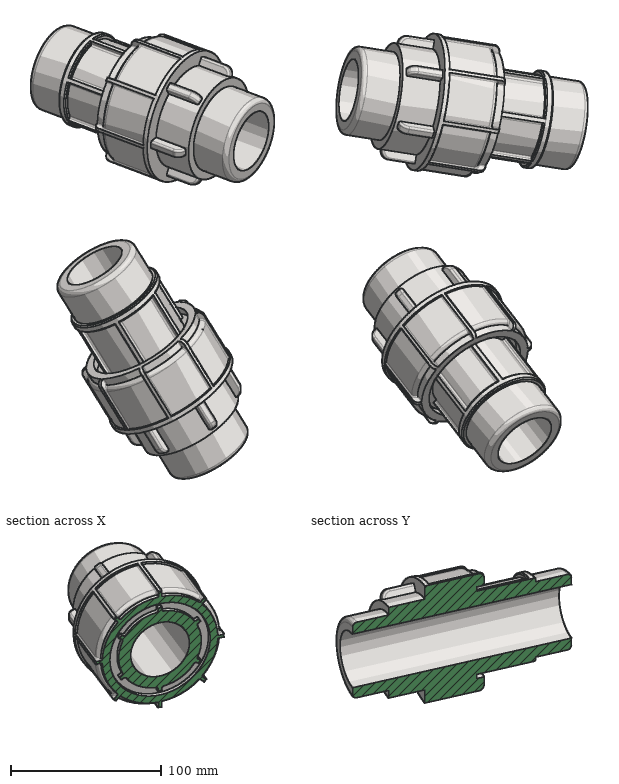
import cadquery as cq
import math

pipe_length = 158.5
pipe_diameter = 59.6
bore_diameter = 41.7
pipe_end_rounding = 3.2

collar_start = 25.8
collar_end = 31.2
collar_diameter = 65.6
collar_chamfer = 1.0
stem_rib_count = 6
stem_rib_width = 3.0
stem_rib_root_radius = 1.3

nut_start = 63.1
nose_end = 68.5
panel_end = 102.9
nut_end = 106.2
nut_diameter = 92.1
nose_diameter = 83.0
panel_diameter = 89.0
panel_rounding = 2.9
nut_opening_diameter = 71.5
nut_opening_depth = 5.4
nut_rib_count = 8
nut_rib_width = 2.5
panel_rib_root_radius = 0.8
nose_rib_root_radius = 0.5
nut_rib_end_rounding = 4.0

stem_rib_end = nut_start + nut_opening_depth

body_end = 132.3
body_diameter = nut_opening_diameter
body_rib_end = 130.0
body_rib_count = 6
body_rib_first_angle = 180 / body_rib_count
body_rib_width = 6.0
body_rib_top_radius = 41.7
body_rib_end_rounding = 6.3
body_rib_edge_rounding = 1.5

root_tolerance = 0.08


def cylinder(start, end, diameter):
    """Solid cylinder about the X axis between two X positions."""
    return cq.Workplane("YZ", origin=(start, 0, 0)).circle(diameter / 2).extrude(end - start)


def rib(start, end, width, top_radius):
    """Straight bar along X that rises toward +Z from midway through the pipe wall."""
    base_radius = (bore_diameter + pipe_diameter) / 4
    base = cq.Workplane("XY", origin=((start + end) / 2, 0, base_radius))
    return base.rect(end - start, width).extrude(top_radius - base_radius)


def ring_of(shape, count, first_angle=0.0):
    """Fuse equally spaced copies of a shape turned about the X axis."""
    ring = cq.Workplane("XY")
    for index in range(count):
        angle = first_angle + 360 / count * index
        ring = ring.add(shape.rotate((0, 0, 0), (1, 0, 0), angle))
    return ring.combine()


def fillet_rib_roots(ribbed, surface_diameter, radius):
    """Fillet the straight edges where ribs meet a cylindrical surface."""
    edges_along_x = ribbed.edges("|X").vals()
    root_edges = []
    for edge in edges_along_x:
        center = edge.Center()
        distance = math.hypot(center.y, center.z)
        if abs(distance - surface_diameter / 2) < root_tolerance:
            root_edges.append(edge)
    return ribbed.newObject(root_edges).fillet(radius)


def make_stem():
    """Full-length pipe with its collar and the ribs behind the collar."""
    pipe = cylinder(0, pipe_length, pipe_diameter).edges().fillet(pipe_end_rounding)
    collar = cylinder(collar_start, collar_end, collar_diameter).edges().chamfer(collar_chamfer)
    bar = rib(collar_end - collar_chamfer, stem_rib_end, stem_rib_width, collar_diameter / 2)
    bar = bar.intersect(cylinder(collar_start, stem_rib_end, collar_diameter))
    stem = pipe.union(collar).union(ring_of(bar, stem_rib_count))
    return fillet_rib_roots(stem, pipe_diameter, stem_rib_root_radius)


def make_nut():
    """Ribbed core whose nose stays bare, wrapped in raised panels and a rim."""
    bar = rib(nut_start, panel_end, nut_rib_width, nut_diameter / 2)
    bar = bar.faces("<X").edges(">Z").fillet(nut_rib_end_rounding)
    bar = bar.intersect(cylinder(nut_start, panel_end, nut_diameter))
    bars = ring_of(bar, nut_rib_count)

    core = cylinder(nut_start, panel_end, nose_diameter).union(bars)
    core = fillet_rib_roots(core, nose_diameter, nose_rib_root_radius)

    panels = cylinder(nose_end, panel_end, panel_diameter)
    panels = panels.faces("<X").edges().fillet(panel_rounding)
    rim = cylinder(panel_end, nut_end, nut_diameter)
    wrap = panels.union(rim).union(bars)
    wrap = fillet_rib_roots(wrap, panel_diameter, panel_rib_root_radius)
    nut = core.union(wrap)
    return nut.cut(cylinder(nut_start, nut_start + nut_opening_depth, nut_opening_diameter))


def make_body():
    """Plain cylindrical body with rounded grip ribs."""
    body = cylinder(panel_end, body_end, body_diameter)
    bar = rib(panel_end, body_rib_end, body_rib_width, body_rib_top_radius)
    bar = bar.faces(">X").edges(">Z").fillet(body_rib_end_rounding)
    bar = bar.faces(">Z").edges(">Y or <Y").fillet(body_rib_edge_rounding)
    return body.union(ring_of(bar, body_rib_count, body_rib_first_angle))


result = (
    make_stem()
    .union(make_nut())
    .union(make_body())
    .cut(cylinder(0, pipe_length, bore_diameter))
)